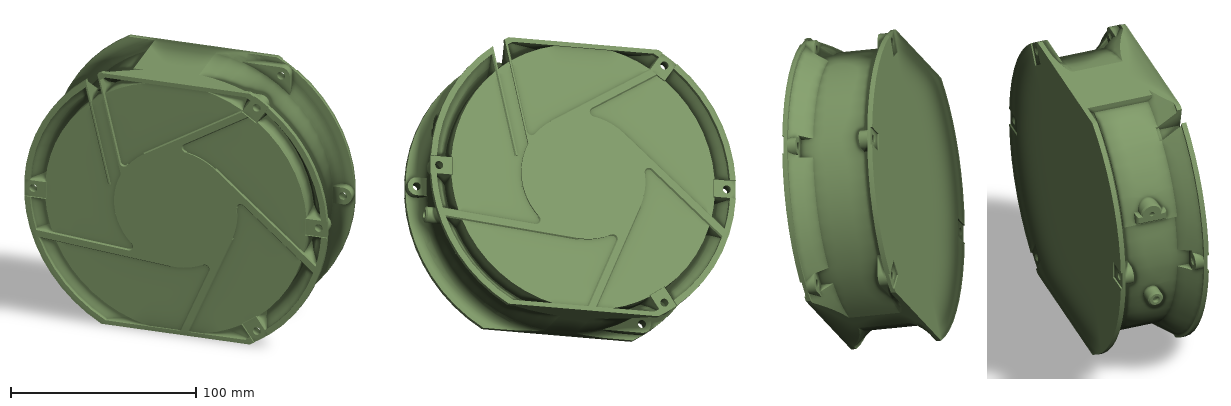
import cadquery as cq
import math

OVERALL_DIAMETER = 172.0
DEPTH = 50.7
HEIGHT = 150.0

RIM_R = OVERALL_DIAMETER / 2
FRONT = -DEPTH / 2
BACK = DEPTH / 2
FLAT_Z = HEIGHT / 2

TUBE_R = 75.5
FLANGE_THICKNESS = 2.8
CONE_OUTER_R = 84.3
CONE_DEPTH = 14.3
BACK_FLARE_R = 5.2

PAD_R = 76.4
PAD_BOTTOM_Z = 24.6
PAD_BACK_GAP = 6.5
BLOCK_LEFT_X = -27.3
BLOCK_BOTTOM_Z = 68.8
BLOCK_FRONT_GAP = 10.8

GROOVE_INNER_R = 74.3
GROOVE_OUTER_R = 82.7
GROOVE_BEND_R = 78.1
GROOVE_BEND_DEPTH = 8.0
FLAT_WALL = 2.4
RECESS_DEPTH = 0.9

HUB_R = 35.0
STRUT_WIDTH = 3.8
STRUT_COUNT = 5
FIRST_STRUT_ANGLE = 31.0
STRUT_FILLET_R = 2.5
STRUT_BEVEL_ANGLE = 38.0
GROOVE_DRAFT = 8.0

CABLE_WIDTH = 9.1
CABLE_RIB = 0.9
CABLE_RIB_START = 17.2

DIAGONAL_LUG_ANGLE = 55.5
LUG_ANGLES = (0.0, DIAGONAL_LUG_ANGLE, 180.0, -DIAGONAL_LUG_ANGLE)
LUG_CENTRE_R = 81.0
LUG_THICKNESS = 7.5
LUG_ROUND_R = RIM_R - LUG_CENTRE_R
LUG_INNER_R = 73.6
CLEARANCE_SPREAD = 2.2
SCREW_HOLE_D = 4.5

FITTING_Y = 3.3
FITTING_ROOT_X = -62.0
FITTING_CHAMFER = 0.9
CLAMP_Z = 31.3
CLAMP_FACE_X = -74.6
CLAMP_ARCH_R = 6.0
CLAMP_BASE_LENGTH = 17.2
CLAMP_BASE_HEIGHT = 5.3
CLAMP_HOLE_D = 2.8
CLAMP_HOLE_DEPTH = 5.2
POST_Z = -20.0
POST_FACE_X = -81.2
POST_D = 8.6
POST_HOLE_D = 4.0
POST_HOLE_DEPTH = 6.9

BEYOND = RIM_R + 17.2


def front_plane(depth=0.0):
    """Plane parallel to the front face: local x is X, local y is Z, extrude(-d) goes backwards."""
    return cq.Workplane("XZ", origin=(0, FRONT + depth, 0))


def turned(shape, angle):
    """Turn a shape about the fan axis, from +X towards +Z."""
    return shape.rotate((0, 0, 0), (0, 1, 0), -angle)


def ring(inner_r, outer_r, start, length):
    """Ring about the fan axis, starting at a depth behind the front face."""
    return front_plane(start).circle(outer_r).circle(inner_r).extrude(-length)


def slab(half_height):
    """Everything between two horizontal planes."""
    return cq.Workplane("XY").box(2 * BEYOND, 2 * DEPTH, 2 * half_height)


def housing():
    flare_y = BACK - FLANGE_THICKNESS
    profile = (
        cq.Workplane("XY")
        .moveTo(0, FRONT)
        .lineTo(RIM_R, FRONT)
        .lineTo(RIM_R, FRONT + FLANGE_THICKNESS)
        .lineTo(CONE_OUTER_R, FRONT + FLANGE_THICKNESS)
        .lineTo(TUBE_R, FRONT + CONE_DEPTH)
        .lineTo(TUBE_R, flare_y - BACK_FLARE_R)
        .radiusArc((TUBE_R + BACK_FLARE_R, flare_y), BACK_FLARE_R)
        .lineTo(RIM_R, flare_y)
        .lineTo(RIM_R, BACK)
        .lineTo(0, BACK)
        .close()
    )
    return profile.revolve(360, (0, 0, 0), (0, 1, 0))


def wall_pad():
    """Thicker tube wall between the left side and the top block."""
    sector = cq.Workplane("XY").box(
        BLOCK_LEFT_X + BEYOND, DEPTH, BEYOND - PAD_BOTTOM_Z, centered=False
    )
    sector = sector.translate((-BEYOND, FRONT, PAD_BOTTOM_Z))
    pad_start = CONE_DEPTH - FLANGE_THICKNESS
    pad = ring(GROOVE_INNER_R, PAD_R, pad_start, DEPTH - pad_start - PAD_BACK_GAP)
    return pad.intersect(sector)


def top_block():
    """Block that carries the top flat to the left of the tube's crest."""
    length = DEPTH - BLOCK_FRONT_GAP
    block = cq.Workplane("XY").box(-BLOCK_LEFT_X, length, FLAT_Z - BLOCK_BOTTOM_Z, centered=False)
    return block.translate((BLOCK_LEFT_X, BACK - length, BLOCK_BOTTOM_Z))


def strut_outline(width):
    """Strut along +X whose upper edge is tangent to the hub; the lower edge blends into it."""
    lower = HUB_R - width
    centre_y = lower - STRUT_FILLET_R
    centre_x = math.sqrt((HUB_R + STRUT_FILLET_R) ** 2 - centre_y**2)
    to_hub = math.atan2(-centre_y, -centre_x)
    mid_angle = (to_hub + 2 * math.pi + math.pi / 2) / 2
    blend_mid = (
        centre_x + STRUT_FILLET_R * math.cos(mid_angle),
        centre_y + STRUT_FILLET_R * math.sin(mid_angle),
    )
    blend_end = (
        centre_x + STRUT_FILLET_R * math.cos(to_hub),
        centre_y + STRUT_FILLET_R * math.sin(to_hub),
    )
    return (
        front_plane()
        .moveTo(0, HUB_R)
        .lineTo(BEYOND, HUB_R)
        .lineTo(BEYOND, lower)
        .lineTo(centre_x, lower)
        .threePointArc(blend_mid, blend_end)
        .lineTo(0, 0)
        .close()
    )


def strut(width):
    """Bevelled strut over the recess, with a drafted web below it that bridges the groove."""
    top = strut_outline(width).extrude(-RECESS_DEPTH, taper=-STRUT_BEVEL_ANGLE)
    web = strut_outline(width).extrude(-CONE_DEPTH, taper=-GROOVE_DRAFT)
    return top.union(web)


def cable_channel(start, lower_wall, upper_wall, depth):
    """Bar along +X that fills the space between the walls of the cable strut."""
    low = HUB_R - CABLE_WIDTH + lower_wall
    high = HUB_R - upper_wall
    return (
        front_plane()
        .moveTo(start, low)
        .lineTo(BEYOND, low)
        .lineTo(BEYOND, high)
        .lineTo(start, high)
        .close()
        .extrude(-depth)
    )


def cable_strut():
    """Two thin ribs; the upper one starts a little way out from the hub."""
    ribs = strut(CABLE_WIDTH)
    ribs = ribs.cut(cable_channel(0, CABLE_RIB, CABLE_RIB, CONE_DEPTH))
    before_rib = cable_channel(0, CABLE_RIB, -BEYOND, CONE_DEPTH).intersect(
        front_plane().rect(2 * CABLE_RIB_START, 2 * BEYOND).extrude(-CONE_DEPTH)
    )
    return ribs.cut(before_rib)


def side_lug():
    """Lug on +X behind the front face, square towards the axis and rounded outwards."""
    outline = (
        front_plane()
        .moveTo(LUG_INNER_R, -LUG_ROUND_R)
        .lineTo(LUG_CENTRE_R, -LUG_ROUND_R)
        .threePointArc((RIM_R, 0), (LUG_CENTRE_R, LUG_ROUND_R))
        .lineTo(LUG_INNER_R, LUG_ROUND_R)
        .close()
    )
    return outline.extrude(-LUG_THICKNESS)


def diagonal_lug():
    """Upper right lug: a level top and an upright side run from its round corner to the tube."""
    angle = math.radians(DIAGONAL_LUG_ANGLE)
    x = LUG_CENTRE_R * math.cos(angle)
    z = LUG_CENTRE_R * math.sin(angle)
    top_z = z + LUG_ROUND_R
    side_x = x + LUG_ROUND_R
    top_end_x = math.sqrt(TUBE_R**2 - top_z**2)
    side_end_z = math.sqrt(TUBE_R**2 - side_x**2)
    round_mid = LUG_ROUND_R * math.sqrt(0.5)
    outline = (
        front_plane()
        .moveTo(top_end_x, top_z)
        .lineTo(x, top_z)
        .threePointArc((x + round_mid, z + round_mid), (side_x, z))
        .lineTo(side_x, side_end_z)
        .close()
    )
    return outline.extrude(-LUG_THICKNESS)


def lug_bar(start, length, draft=0.0):
    """Straight bar across the wall at +X, as wide as a lug and getting wider with the draft."""
    bar = front_plane(start).center(RIM_R, 0).rect(2 * (RIM_R - LUG_INNER_R), 2 * LUG_ROUND_R)
    return bar.extrude(-length, taper=-draft)


def lug_clearance():
    """Space behind the front lug at +X, open outwards and bounded by the tube."""
    outer_half = LUG_ROUND_R + CLEARANCE_SPREAD
    wedge = (
        front_plane(LUG_THICKNESS)
        .moveTo(LUG_INNER_R, -LUG_ROUND_R)
        .lineTo(RIM_R, -outer_half)
        .lineTo(RIM_R, outer_half)
        .lineTo(LUG_INNER_R, LUG_ROUND_R)
        .close()
        .extrude(LUG_THICKNESS - CONE_DEPTH)
    )
    return wedge.cut(front_plane().circle(TUBE_R).extrude(-DEPTH))


def front_relief():
    """Material removed around the hub and struts and from the lug seats on the front face."""
    groove = (
        cq.Workplane("XY")
        .moveTo(GROOVE_INNER_R, FRONT)
        .lineTo(GROOVE_OUTER_R, FRONT)
        .lineTo(GROOVE_OUTER_R, FRONT + FLANGE_THICKNESS)
        .lineTo(GROOVE_BEND_R, FRONT + GROOVE_BEND_DEPTH)
        .lineTo(GROOVE_INNER_R, FRONT + CONE_DEPTH)
        .close()
        .revolve(360, (0, 0, 0), (0, 1, 0))
    )
    recess = front_plane().circle(GROOVE_INNER_R).extrude(-RECESS_DEPTH)
    relief = groove.union(recess).intersect(slab(FLAT_Z - FLAT_WALL))
    relief = relief.cut(front_plane().circle(HUB_R).extrude(-RECESS_DEPTH))
    pitch = 360 / STRUT_COUNT
    for i in range(STRUT_COUNT - 1):
        relief = relief.cut(turned(strut(STRUT_WIDTH), FIRST_STRUT_ANGLE - i * pitch))
    relief = relief.cut(turned(cable_strut(), FIRST_STRUT_ANGLE + pitch))
    for angle in LUG_ANGLES:
        relief = relief.cut(turned(lug_bar(0, CONE_DEPTH, GROOVE_DRAFT), angle))
    for angle in LUG_ANGLES:
        relief = relief.union(turned(lug_bar(0, RECESS_DEPTH), angle))
    return relief


def cable_notch():
    """Gap through the front flange and cone between the cable ribs, down to the tube."""
    notch = cable_channel(0, CABLE_RIB, CABLE_RIB, CONE_DEPTH)
    return turned(notch, FIRST_STRUT_ANGLE + 360 / STRUT_COUNT).intersect(
        ring(TUBE_R, BEYOND, 0, CONE_DEPTH)
    )


def left_face(face_x, z):
    """Plane facing left at the fittings' place along the tube: local x is Y, extrude goes inwards."""
    return cq.Workplane("YZ", origin=(face_x, FITTING_Y, z))


def clamp():
    """Cable clamp: an arch on a wider base, with a screw hole."""
    reach = FITTING_ROOT_X - CLAMP_FACE_X
    half_base = CLAMP_BASE_LENGTH / 2
    outline = (
        left_face(CLAMP_FACE_X, CLAMP_Z)
        .moveTo(-half_base, -CLAMP_BASE_HEIGHT)
        .lineTo(half_base, -CLAMP_BASE_HEIGHT)
        .lineTo(half_base, 0)
        .lineTo(CLAMP_ARCH_R, 0)
        .threePointArc((0, CLAMP_ARCH_R), (-CLAMP_ARCH_R, 0))
        .lineTo(-half_base, 0)
        .close()
    )
    hole = left_face(CLAMP_FACE_X, CLAMP_Z).circle(CLAMP_HOLE_D / 2).extrude(CLAMP_HOLE_DEPTH)
    body = outline.extrude(reach).faces("<X").chamfer(FITTING_CHAMFER)
    return body.cut(hole)


def threaded_post():
    reach = FITTING_ROOT_X - POST_FACE_X
    post = left_face(POST_FACE_X, POST_Z).circle(POST_D / 2).extrude(reach)
    post = post.faces("<X").chamfer(FITTING_CHAMFER)
    return post.cut(left_face(POST_FACE_X, POST_Z).circle(POST_HOLE_D / 2).extrude(POST_HOLE_DEPTH))


part = housing().union(wall_pad()).union(top_block()).intersect(slab(FLAT_Z))

corner_lug = diagonal_lug()
lugs = (side_lug(), turned(side_lug(), 180), corner_lug, corner_lug.mirror("XY"))
for front_lug in lugs:
    part = part.union(front_lug)
    part = part.union(front_lug.translate((0, DEPTH - LUG_THICKNESS, 0)))

part = part.cut(front_relief()).cut(cable_notch())

back_seat = lug_bar(DEPTH - RECESS_DEPTH, RECESS_DEPTH)
screw_hole = front_plane().center(LUG_CENTRE_R, 0).circle(SCREW_HOLE_D / 2).extrude(-DEPTH)
for angle in LUG_ANGLES:
    for cutter in (lug_clearance(), back_seat, screw_hole):
        part = part.cut(turned(cutter, angle), clean=False)

part = part.union(clamp(), clean=False).union(threaded_post(), clean=False)

result = part